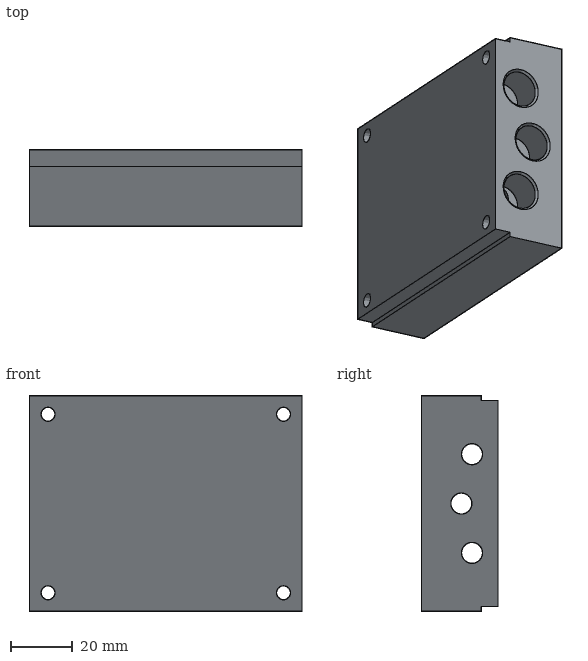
import cadquery as cq

length = 88.5
depth = 25.0
height = 70.0

rebate_depth = 5.5
rebate_height = 1.5

mount_hole_diameter = 4.4
mount_hole_inset = 6.0

port_diameter = 11.8
port_mouth_diameter = 13.2
port_depth = 12.0
port_pitch = 18.0
outer_port_setback = 15.5
middle_port_setback = 11.0

channel_diameter = 6.7
channel_pitch = 16.0
outer_channel_setback = 16.5
middle_channel_setback = 13.0

left_end = -length / 2
front_face = -depth / 2


def make_block():
    """Rectangular block with a rebate along each rear edge."""
    rear_face = depth / 2
    block = cq.Workplane("XY").box(length, depth, height)
    for side in (-1, 1):
        rebate = cq.Workplane("XY").box(length, 2 * rebate_depth, 2 * rebate_height)
        block = block.cut(rebate.translate((0, rear_face, side * height / 2)))
    return block


def mount_holes():
    """Four corner drillings along Y."""
    return (
        cq.Workplane("XZ", origin=(0, front_face, 0))
        .rect(length - 2 * mount_hole_inset, height - 2 * mount_hole_inset, forConstruction=True)
        .vertices()
        .circle(mount_hole_diameter / 2)
        .extrude(-depth)
    )


def end_bore(setback, level, diameter, bore_depth):
    """Round bore along +X, starting at the left end."""
    centre = (left_end, front_face + setback, level)
    return cq.Workplane("YZ", origin=centre).circle(diameter / 2).extrude(bore_depth)


def port(setback, level):
    """Flat-bottomed port with a 45-degree chamfered mouth."""
    mouth_chamfer = (port_mouth_diameter - port_diameter) / 2
    bore = end_bore(setback, level, port_diameter, port_depth)
    mouth_centre = cq.Vector(left_end, front_face + setback, level)
    mouth = cq.Solid.makeCone(
        port_mouth_diameter / 2, port_diameter / 2, mouth_chamfer, mouth_centre, cq.Vector(1, 0, 0)
    )
    return bore.union(cq.Workplane(mouth))


result = make_block().cut(mount_holes())

for row in (-1, 0, 1):
    is_middle = row == 0
    port_setback = middle_port_setback if is_middle else outer_port_setback
    channel_setback = middle_channel_setback if is_middle else outer_channel_setback
    result = result.cut(port(port_setback, row * port_pitch))
    result = result.cut(end_bore(channel_setback, row * channel_pitch, channel_diameter, length))